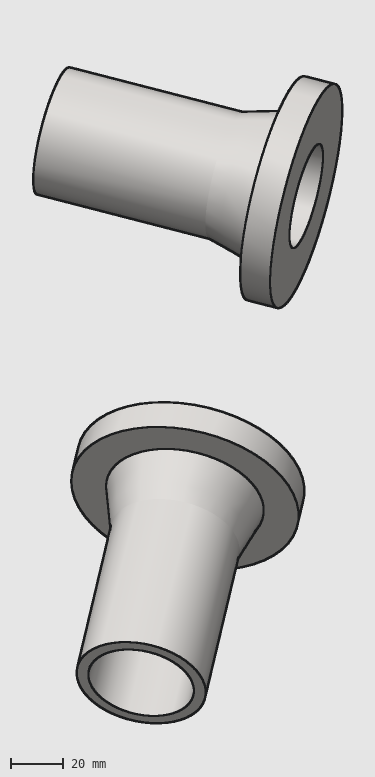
import cadquery as cq

total_length = 101.0
flange_thickness = 12.0
neck_length = 20.0
pipe_length = total_length - neck_length - flange_thickness

bore_diameter = 40.8
pipe_diameter = 50.0
neck_base_diameter = 61.0
flange_diameter = 88.0

bore_radius = bore_diameter / 2
pipe_radius = pipe_diameter / 2
neck_base_radius = neck_base_diameter / 2
flange_radius = flange_diameter / 2

neck_start = pipe_length
flange_start = neck_start + neck_length

half_section = (
    cq.Workplane("XY")
    .moveTo(0, bore_radius)
    .lineTo(0, pipe_radius)
    .lineTo(neck_start, pipe_radius)
    .lineTo(flange_start, neck_base_radius)
    .lineTo(flange_start, flange_radius)
    .lineTo(total_length, flange_radius)
    .lineTo(total_length, bore_radius)
    .close()
)

result = half_section.revolve(360, (0, 0, 0), (1, 0, 0))